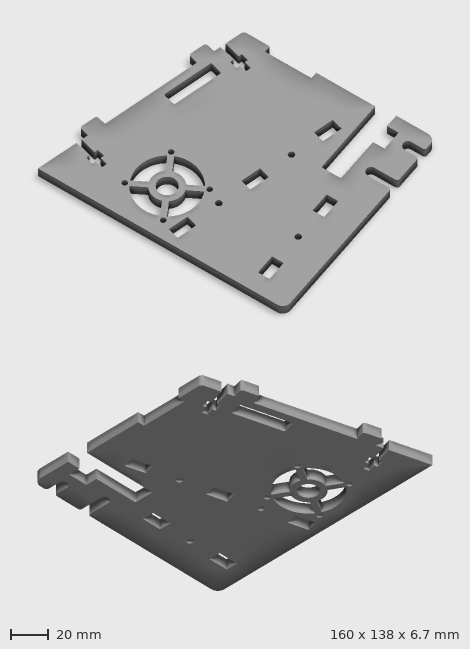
import cadquery as cq
import math

length = 160.0
depth = 138.0
thickness = 6.7
corner_radius = 5.0

slant_angle = 15.0
left_top_y = 136.5
left_corner_radius = 2.4

rear_notch_left_x = 53.5
rear_notch_right_x = 83.5
rear_notch_depth = 4.3

channel_left_x = 121.8
channel_right_x = 134.4
channel_floor_y = 87.4
channel_radius = 1.0

mortise_pitch = 50.0
mortise_length = 12.8
straight_mortise_width = 7.5
straight_mortise_y = 18.0
side_notch_y = 123.0
slanted_mortise_width = 7.4
slanted_mortise_inward = 78.5
slanted_mortise_along = 34.0
slanted_mortise_count = 3
screw_hole_diameter = 4.0

cable_slot_width = 6.0
cable_slot_mouth_radius = 1.6
cable_slots = [(125.3, 147.8), (100.2, 141.8)]

joint_middle = 77.6
tab_offset = 37.5
tab_width = 11.7
tab_height = thickness
tab_radius = 1.5
nut_slot_offset = 49.5
bolt_slot_width = 3.5
bolt_slot_depth = 21.0
nut_start = 10.9
nut_thickness = 5.0
nut_width = 8.0

window_inward = 9.3
window_along = 98.5
window_width = 8.5
window_length = 32.5
window_radius = 1.0

fan_x = 62.4
fan_y = 30.0
fan_spoke_angle = 30.0
fan_opening_radius = 20.0
fan_hub_radius = 10.0
fan_hub_hole_radius = 6.0
fan_spoke_width = 3.7
fan_screw_circle_radius = 22.5
fan_screw_diameter = 3.5

overcut = 1.6


def straight_box(x_min, x_max, y_min, y_max):
    """Block of plate thickness between the given limits."""
    block = cq.Workplane("XY").box(x_max - x_min, y_max - y_min, thickness, centered=False)
    return block.translate((x_min, y_min, 0))


def slanted_box(inward_min, inward_max, along_min, along_max):
    """Block of plate thickness set out in the directions of the slanted edge."""
    block = straight_box(inward_min, inward_max, along_min, along_max)
    return block.rotate((0, 0, 0), (0, 0, 1), -slant_angle)


def slanted_point(inward, along):
    """X and Y of a place set out in the directions of the slanted edge."""
    slant = math.radians(slant_angle)
    x = inward * math.cos(slant) + along * math.sin(slant)
    y = along * math.cos(slant) - inward * math.sin(slant)
    return x, y


def round_holes(points, diameter):
    """Pins of plate thickness, ready to be cut from the plate."""
    return cq.Workplane("XY").pushPoints(points).circle(diameter / 2).extrude(thickness)


def plate_blank():
    """Slanted plate with its deep channel and rounded corners, before any other openings."""
    left_top_x = left_top_y * math.tan(math.radians(slant_angle))
    outline = [
        (0, 0),
        (length, 0),
        (length, depth),
        (channel_right_x, depth),
        (channel_right_x, channel_floor_y),
        (channel_left_x, channel_floor_y),
        (channel_left_x, left_top_y),
        (left_top_x, left_top_y),
    ]
    blank = cq.Workplane("XY").polyline(outline).close().extrude(thickness)
    blank = blank.edges("|Z and >X").fillet(corner_radius)
    channel_floor = cq.selectors.BoxSelector(
        (channel_left_x - overcut, channel_floor_y - overcut, -overcut),
        (channel_right_x + overcut, channel_floor_y + overcut, thickness + overcut),
    )
    blank = blank.edges("|Z").edges(channel_floor).fillet(channel_radius)
    left_corner = cq.selectors.NearestToPointSelector((left_top_x, left_top_y, thickness / 2))
    return blank.edges("|Z").edges(left_corner).fillet(left_corner_radius)


def tab(along):
    """Tab standing out of the slanted edge, with its two outer corners rounded."""
    body = slanted_box(-tab_height, overcut, along - tab_width / 2, along + tab_width / 2)
    return body.edges("|Z").edges("<X or >Y").fillet(tab_radius)


def nut_slot(along):
    """Bolt slot open at the slanted edge, crossed by a pocket for a nut."""
    bolt = slanted_box(
        -overcut, bolt_slot_depth, along - bolt_slot_width / 2, along + bolt_slot_width / 2
    )
    nut = slanted_box(
        nut_start, nut_start + nut_thickness, along - nut_width / 2, along + nut_width / 2
    )
    return bolt.union(nut)


def cable_slot(centre_y, end_x):
    """Round-ended slot whose mouth flares with a radius on each side."""
    half = cable_slot_width / 2
    flare = cable_slot_mouth_radius
    return (
        cq.Workplane("XY")
        .moveTo(length, centre_y + half + flare)
        .radiusArc((length - flare, centre_y + half), flare)
        .lineTo(end_x + half, centre_y + half)
        .threePointArc((end_x, centre_y), (end_x + half, centre_y - half))
        .lineTo(length - flare, centre_y - half)
        .radiusArc((length, centre_y - half - flare), flare)
        .close()
        .extrude(thickness)
    )


def straight_mortise(centre_y):
    """Mortise in line with the right wall of the channel."""
    half = mortise_length / 2
    right_x = channel_right_x + straight_mortise_width
    return straight_box(channel_right_x, right_x, centre_y - half, centre_y + half)


def slanted_window(inward, along, width, height):
    """Block lined up with the slanted edge and centred on the given place."""
    return slanted_box(
        inward - width / 2, inward + width / 2, along - height / 2, along + height / 2
    )


def fan_cutout():
    """Four vents between the spokes, the hole through the hub and the fan screw holes."""
    vents = cq.Workplane("XY").circle(fan_opening_radius).circle(fan_hub_radius).extrude(thickness)
    screws = []
    for quarter in range(4):
        angle = fan_spoke_angle + 90 * quarter
        spoke = straight_box(
            0, fan_opening_radius + overcut, -fan_spoke_width / 2, fan_spoke_width / 2
        )
        vents = vents.cut(spoke.rotate((0, 0, 0), (0, 0, 1), angle))
        screws.append((
            fan_screw_circle_radius * math.cos(math.radians(angle)),
            fan_screw_circle_radius * math.sin(math.radians(angle)),
        ))
    hub_hole = round_holes([(0, 0)], 2 * fan_hub_hole_radius)
    cutout = vents.union(hub_hole).union(round_holes(screws, fan_screw_diameter))
    return cutout.translate((fan_x, fan_y, 0))


plate = plate_blank()

for side in (-1, 1):
    plate = plate.union(tab(joint_middle + side * tab_offset))
    plate = plate.cut(nut_slot(joint_middle + side * nut_slot_offset))
window = slanted_window(window_inward, window_along, window_width, window_length)
plate = plate.cut(window.edges("|Z").fillet(window_radius))

plate = plate.cut(
    straight_box(rear_notch_left_x, rear_notch_right_x, left_top_y - rear_notch_depth, depth)
)
for slot_y, slot_end_x in cable_slots:
    plate = plate.cut(cable_slot(slot_y, slot_end_x))

for mortise_y in (straight_mortise_y, straight_mortise_y + mortise_pitch, side_notch_y):
    plate = plate.cut(straight_mortise(mortise_y))
screw_points = [
    (channel_right_x + straight_mortise_width / 2, straight_mortise_y + mortise_pitch / 2)
]
for row in range(slanted_mortise_count):
    along = slanted_mortise_along + row * mortise_pitch
    plate = plate.cut(
        slanted_window(slanted_mortise_inward, along, slanted_mortise_width, mortise_length)
    )
    if row > 0:
        screw_points.append(slanted_point(slanted_mortise_inward, along - mortise_pitch / 2))
plate = plate.cut(round_holes(screw_points, screw_hole_diameter))

result = plate.cut(fan_cutout())